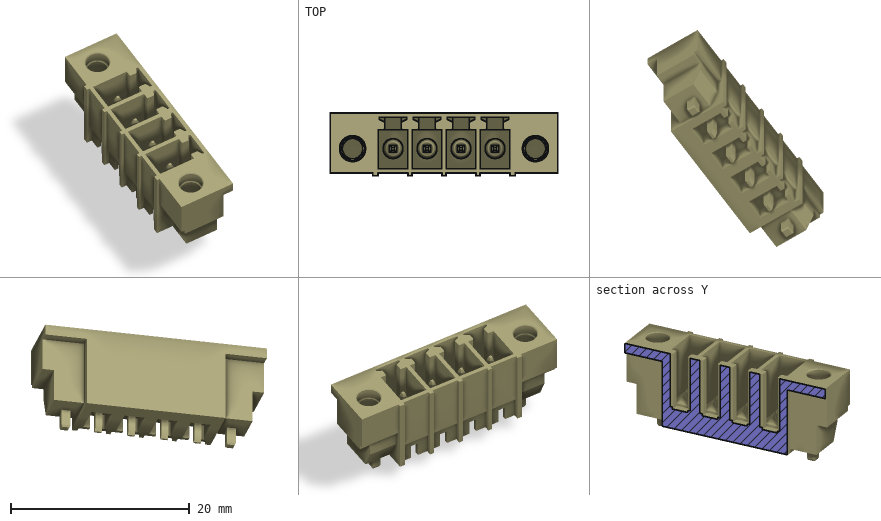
import cadquery as cq
import math


contact_count = 4
pitch = 3.81
bay_centers = [(i - (contact_count - 1) / 2) * pitch for i in range(contact_count)]
divider_positions = [(i - contact_count / 2) * pitch for i in range(1, contact_count)]

length = 25.53
half_length = length / 2
housing_height = 9.25
back_y = 4.0
front_y = -2.73
rib_front_y = -3.06

divider_width = 0.49
end_rib_width = 0.6
row_half_length = contact_count * pitch / 2 - divider_width / 2 + end_rib_width

lower_front_y = -2.43
step_top_z = 2.68
step_bottom_z = 2.48

bay_width = pitch - divider_width
bay_front_y = -2.27
bay_back_y = 2.12
bay_floor_z = 2.73

keyway_neck_width = 1.86
keyway_head_width = 3.1
keyway_back_y = 3.52
keyway_edge_y = 3.27
keyway_neck_y = 2.99
keyway_mouth_chamfer = 0.1
keyway_floor_drop = 0.25

collar_base_radius = 1.11
collar_height = 1.0
collar_side_angle = 16.0
collar_top_fillet = 0.18

relief_width = 2.45
relief_height = 1.75
relief_half_depth = 1.95
slot_width = 0.9

flange_thickness = 1.23
block_back_y = 2.73
block_front_bottom_z = 4.93
block_bottom_z = 4.31
foot_half_length = 11.45
foot_front_y = -2.25
foot_bottom_z = 0.6
foot_bevel_top_z = 2.83
foot_bevel_front_y = -1.28

screw_x = 10.25
screw_entry_radius = 1.35
screw_entry_depth = 1.28
screw_entry_chamfer = 0.1
screw_core_radius = 1.15
screw_hole_depth = 3.06

pin_width = 0.8
pin_top_z = 7.8
pin_bottom_z = -1.45
pin_taper_height = 1.07
pin_tip_inset = 0.243

lug_x = 9.52
lug_width = 1.02
lug_chamfer = 0.1
lug_chamfer_height = 0.23


def box(x0, x1, y0, y1, z0, z1):
    """Axis-aligned box between opposite corners."""
    return cq.Workplane("XY").box(x1 - x0, y1 - y0, z1 - z0, centered=False).translate((x0, y0, z0))


def centered_box(x, width, y0, y1, z0, z1):
    """Box of the given width, centered on x."""
    return box(x - width / 2, x + width / 2, y0, y1, z0, z1)


def prism_along_x(profile, x0, x1):
    """Extrude a closed list of (y, z) points from x0 to x1."""
    return cq.Workplane("YZ").workplane(offset=x0).polyline(profile).close().extrude(x1 - x0)


def contact_section():
    """Middle of the housing: stepped front wall plus full-height end walls and ribs."""
    wall_profile = [
        (back_y, 0),
        (lower_front_y, 0),
        (lower_front_y, step_bottom_z),
        (front_y, step_top_z),
        (front_y, housing_height),
        (back_y, housing_height),
    ]
    section = prism_along_x(wall_profile, -row_half_length, row_half_length)
    for x in divider_positions:
        section = section.union(centered_box(x, divider_width, rib_front_y, 0, 0, housing_height))
    end_rib_x = row_half_length - end_rib_width / 2
    for x in (-end_rib_x, end_rib_x):
        section = section.union(centered_box(x, end_rib_width, rib_front_y, back_y, 0, housing_height))
    return section


def flange_end():
    """Right flange block with its rear flange, foot and screw hole."""
    inner_x = row_half_length
    block_profile = [
        (block_back_y, block_bottom_z),
        (foot_front_y, block_bottom_z),
        (foot_front_y, block_front_bottom_z),
        (front_y, block_front_bottom_z),
        (front_y, housing_height),
        (back_y, housing_height),
        (back_y, housing_height - flange_thickness),
        (block_back_y, housing_height - flange_thickness),
    ]
    foot_profile = [
        (block_back_y, foot_bottom_z),
        (foot_bevel_front_y, foot_bottom_z),
        (foot_front_y, foot_bevel_top_z),
        (foot_front_y, block_bottom_z),
        (block_back_y, block_bottom_z),
    ]
    block = prism_along_x(block_profile, inner_x, half_length)
    foot = prism_along_x(foot_profile, inner_x, foot_half_length)
    return block.union(foot).cut(screw_hole())


def screw_hole():
    """Stepped blind hole with a chamfered mouth, as a cutting tool."""
    mouth_radius = screw_entry_radius + screw_entry_chamfer
    return (
        cq.Workplane("XZ")
        .moveTo(0, 0)
        .lineTo(mouth_radius, 0)
        .lineTo(screw_entry_radius, -screw_entry_chamfer)
        .lineTo(screw_entry_radius, -screw_entry_depth)
        .lineTo(screw_core_radius, -screw_entry_depth)
        .lineTo(screw_core_radius, -screw_hole_depth)
        .lineTo(0, -screw_hole_depth)
        .close()
        .revolve(360, (0, 0, 0), (0, 1, 0))
        .translate((screw_x, 0, housing_height))
    )


def bay_pocket(x):
    """Open-topped plug bay and the dovetail keyway behind it, as a cutting tool."""
    depth = housing_height - bay_floor_z
    neck = keyway_neck_width / 2
    head = keyway_head_width / 2
    mouth = neck + keyway_mouth_chamfer
    mouth_end_y = bay_back_y + keyway_mouth_chamfer
    keyway_outline = [
        (-mouth, bay_back_y),
        (-neck, mouth_end_y),
        (-neck, keyway_neck_y),
        (-head, keyway_edge_y),
        (-head, keyway_back_y),
        (head, keyway_back_y),
        (head, keyway_edge_y),
        (neck, keyway_neck_y),
        (neck, mouth_end_y),
        (mouth, bay_back_y),
    ]
    bay = centered_box(0, bay_width, bay_front_y, bay_back_y, bay_floor_z, housing_height)
    keyway = cq.Workplane("XY").polyline(keyway_outline).close().extrude(depth).translate((0, 0, bay_floor_z))
    neck_floor = centered_box(
        0, keyway_neck_width, bay_back_y, keyway_back_y, bay_floor_z - keyway_floor_drop, bay_floor_z
    )
    return bay.union(keyway).union(neck_floor).translate((x, 0, 0))


def collar(x):
    """Tapered collar with a rounded top edge, standing on the bay floor."""
    top_radius = collar_base_radius - collar_height * math.tan(math.radians(collar_side_angle))
    return (
        cq.Workplane("XZ")
        .polyline([(0, 0), (collar_base_radius, 0), (top_radius, collar_height), (0, collar_height)])
        .close()
        .revolve(360, (0, 0, 0), (0, 1, 0))
        .faces(">Z")
        .edges()
        .fillet(collar_top_fillet)
        .translate((x, 0, bay_floor_z))
    )


def bottom_relief(x):
    """Clearance around the pin under the bay floor and its front slot, as a cutting tool."""
    relief = centered_box(x, relief_width, -relief_half_depth, relief_half_depth, 0, relief_height)
    slot = centered_box(x, slot_width, lower_front_y, 0, 0, relief_height)
    return relief.union(slot)


def build_housing():
    body = contact_section()
    right_end = flange_end()
    body = body.union(right_end).union(right_end.mirror("YZ"))
    for x in bay_centers:
        body = body.cut(bay_pocket(x)).union(collar(x)).cut(bottom_relief(x))
        body = body.cut(centered_box(x, pin_width, -pin_width / 2, pin_width / 2, 0, housing_height))
    return body


def build_contact_pin(x):
    """Square pin: both ends curve inward in Y, and the upper tip also tapers in X."""
    half = pin_width / 2
    tip = half - pin_tip_inset
    shoulder_z = pin_top_z - pin_taper_height
    tail_z = pin_bottom_z + pin_taper_height
    radius = (pin_taper_height**2 + pin_tip_inset**2) / (2 * pin_tip_inset)
    half_angle = math.asin(pin_taper_height / radius) / 2
    mid_y = half - radius * (1 - math.cos(half_angle))
    mid_rise = radius * math.sin(half_angle)
    side_view = (
        cq.Workplane("YZ")
        .moveTo(half, tail_z)
        .lineTo(half, shoulder_z)
        .threePointArc((mid_y, shoulder_z + mid_rise), (tip, pin_top_z))
        .lineTo(-tip, pin_top_z)
        .threePointArc((-mid_y, shoulder_z + mid_rise), (-half, shoulder_z))
        .lineTo(-half, tail_z)
        .threePointArc((-mid_y, tail_z - mid_rise), (-tip, pin_bottom_z))
        .lineTo(tip, pin_bottom_z)
        .threePointArc((mid_y, tail_z - mid_rise), (half, tail_z))
        .close()
        .extrude(half, both=True)
    )
    front_outline = [
        (-half, pin_bottom_z),
        (half, pin_bottom_z),
        (half, shoulder_z),
        (tip, pin_top_z),
        (-tip, pin_top_z),
        (-half, shoulder_z),
    ]
    front_view = cq.Workplane("XZ").polyline(front_outline).close().extrude(half, both=True)
    return side_view.intersect(front_view).translate((x, 0, 0))


def build_solder_lug(x):
    """Square lug against the underside of the foot, with a chamfered lower end."""
    shank_bottom_z = pin_bottom_z + lug_chamfer_height
    half = lug_width / 2
    end_width = lug_width - 2 * lug_chamfer
    shank = centered_box(x, lug_width, -half, half, shank_bottom_z, foot_bottom_z)
    end = (
        cq.Workplane("XY")
        .workplane(offset=pin_bottom_z)
        .center(x, 0)
        .rect(end_width, end_width)
        .workplane(offset=lug_chamfer_height)
        .rect(lug_width, lug_width)
        .loft(ruled=True)
    )
    return shank.union(end)


housing = build_housing()
contact_pins = [build_contact_pin(x) for x in bay_centers]
solder_lugs = [build_solder_lug(x) for x in (-lug_x, lug_x)]

result = cq.Compound.makeCompound(
    [
        housing.val(),
        *[pin.val() for pin in contact_pins],
        *[lug.val() for lug in solder_lugs],
    ]
)